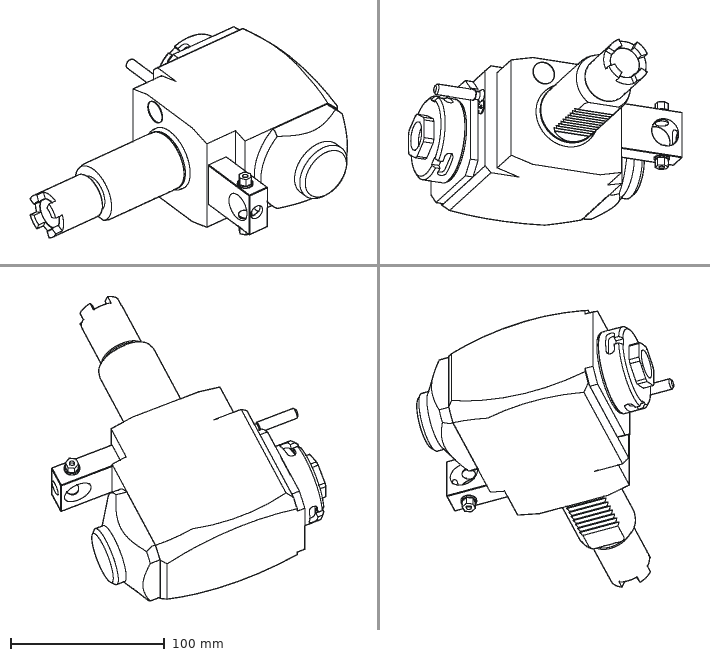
import cadquery as cq
import math


block_height = 75.0
half_height = block_height / 2
block_back = 102.9
block_left = -47.4
block_right = 48.8
left_chamfer = 4.2
taper_start = 23.7
taper_slope = math.tan(math.radians(15))
base_half_width = 38.9
base_length = 23.7
back_corner_chamfer = 3.3
back_bevel_depth = 4.4
back_bevel_center = -9.8
back_bevel_radius = 137.2
back_bevel_reach = 31.2
back_bevel_half_span = 83.1
recess_radius = 7.5
recess_x = -15.8
recess_z = 27.9
recess_depth = 0.6

spindle_y = 69.0
plate_left = -52.8
plate_front = 35.8
plate_half_height = 33.5
plate_chamfer = 8.5
nut_left = -70.3
nut_diameter = 55.0
nut_radius = nut_diameter / 2
nut_chamfer = 2.0
nut_groove_width = 1.2
nut_groove_depth = 0.6
nut_notch_width = 5.8
nut_notch_depth = 3.3
nut_notch_length = 5.2
nut_slot_length = 18.7
nut_slot_width = 5.8
nut_slot_depth = 5.0
nut_slot_x = nut_left + nut_notch_length + nut_slot_width / 2
hex_left = -77.1
hex_flats = 27.0
hex_corners = 29.7
hex_bore_radius = 9.4
hex_bore_depth = 5.5

cover_radius = 37.6
cover_rim_right = 55.7
cover_cone_right = 68.2
cover_right = 76.3
cover_end_radius = 19.5
cover_end_chamfer = 2.5
cover_back = 99.0
cover_flat_right = 51.1

pin_y = 29.5
pin_z = 17.7
pin_left = -80.2
pin_shoulder = -52.4
pin_radius = 3.5
pin_chamfer = 1.2
pin_shoulder_chamfer = 0.6
pin_neck_radius = 2.7
pin_seat_radius = 4.5
pin_seat_start = -49.7
disc_drop = 7.5
disc_z = pin_z - disc_drop
disc_radius = 4.5
disc_height = 0.6
disc_hole_radius = 1.0

flange_radius = 21.5
flange_length = 2.5
flange_fillet = 0.5
shank_radius = 20.0
shank_relief_radius = 19.5
shank_relief_end = -3.7
shank_end = -63.2
shank_end_chamfer = 0.8
shank_chamfer_length = 3.1
neck_radius = 12.0
drive_start = -67.0
overall_length = 207.8
drive_end = block_back - overall_length
drive_radius = 15.0
drive_chamfer = 0.6
drive_slot_depth = 5.5
drive_bore_radius = 10.2
drive_bore_depth = 5.8
drive_slot_half_angle = 25

flat_z = -15.8
flat_start = -9.0
flat_run_in = 3.1
tooth_pitch = 4.0
tooth_count = 10
groove_depth = 1.2
groove_width = 4.0
first_groove = -11.6

overall_width = 162.3
arm_right = pin_left + overall_width
arm_front = 1.2
arm_back = 16.5
arm_height = 31.8
arm_half_height = arm_height / 2
arm_edge_chamfer = 0.5
arm_bore_x = 70.0
arm_bore_diameter = 19.0
arm_bore_radius = arm_bore_diameter / 2
nozzle_y = 7.3
nozzle_flange_radius = 5.2
nozzle_flange_height = 1.0
nozzle_flange_chamfer = 0.6
nozzle_hex_flats = 7.5
nozzle_stem_radius = 4.4
nozzle_stem_bottom = 8.3
nozzle_top = 22.2
nozzle_bore_radius = 1.7
nozzle_bore_depth = 2.0
end_bore_radius = 4.8


def box(x0, x1, y0, y1, z0, z1):
    return cq.Workplane("XY").box(x1 - x0, y1 - y0, z1 - z0, centered=False).translate((x0, y0, z0))


def x_cylinder(radius, x0, x1, y, z):
    return cq.Workplane("YZ", origin=(x0, y, z)).circle(radius).extrude(x1 - x0)


def z_cylinder(radius, x, y, z0, z1):
    return cq.Workplane("XY", origin=(x, y, z0)).circle(radius).extrude(z1 - z0)


def turned_about_x(profile, y, z):
    """Revolve (x, radius) points about a line along X."""
    return cq.Workplane("XY").polyline(profile).close().revolve(360, (0, 0), (1, 0)).translate((0, y, z))


def turned_about_y(profile):
    """Revolve (radius, y) points about the shank axis."""
    return cq.Workplane("XY").polyline(profile).close().revolve(360, (0, 0), (0, 1))


def taper_height(x):
    return half_height - (x - taper_start) * taper_slope


def mirrored_prism(upper_edge, y0, y1):
    """Extrude along Y an outline made of (x, z) points and their mirror image below Z = 0."""
    lower_edge = [(x, -z) for x, z in reversed(upper_edge)]
    outline = cq.Workplane("XZ", origin=(0, y0, 0)).polyline(upper_edge + lower_edge).close()
    return outline.extrude(y0 - y1)


def back_bevel():
    """Oblique prism that bevels the upper back edge at 45 degrees along a shallow arc."""
    sag = back_bevel_radius - math.sqrt(back_bevel_radius**2 - back_bevel_half_span**2)
    crest = block_back - back_bevel_depth
    left = back_bevel_center - back_bevel_half_span
    right = back_bevel_center + back_bevel_half_span
    far = crest + back_bevel_half_span
    outline = (
        cq.Workplane("XY", origin=(0, 0, half_height))
        .moveTo(left, crest - sag)
        .threePointArc((back_bevel_center, crest), (right, crest - sag))
        .lineTo(right, far)
        .lineTo(left, far)
        .close()
    )
    face = cq.Face.makeFromWires(outline.wires().val())
    direction = cq.Vector(0, back_bevel_reach, -back_bevel_reach)
    return cq.Workplane(cq.Solid.extrudeLinear(face, direction))


def make_block():
    upper = mirrored_prism(
        [
            (block_left, half_height - left_chamfer),
            (block_left + left_chamfer, half_height),
            (taper_start, half_height),
            (block_right, taper_height(block_right)),
        ],
        base_length,
        block_back,
    )
    upper = upper.edges("|Z and >X and >Y").chamfer(back_corner_chamfer)
    bevel = back_bevel()
    upper = upper.cut(bevel).cut(bevel.mirror("XY"))
    base = mirrored_prism(
        [
            (-base_half_width, taper_height(base_half_width)),
            (-taper_start, half_height),
            (taper_start, half_height),
            (base_half_width, taper_height(base_half_width)),
        ],
        0,
        base_length,
    )
    recess = cq.Workplane("XZ", origin=(recess_x, 0, recess_z)).circle(recess_radius).extrude(-recess_depth)
    return upper.union(base).cut(recess)


def make_plate():
    plate = box(plate_left, block_left, plate_front, block_back, -plate_half_height, plate_half_height)
    return plate.edges("|X").chamfer(plate_chamfer)


def make_nut():
    groove_start = plate_left - nut_groove_width
    nut = turned_about_x(
        [
            (nut_left, 0),
            (nut_left, nut_radius - nut_chamfer),
            (nut_left + nut_chamfer, nut_radius),
            (groove_start, nut_radius),
            (groove_start, nut_radius - nut_groove_depth),
            (plate_left, nut_radius - nut_groove_depth),
            (plate_left, 0),
        ],
        0,
        0,
    )
    notch_floor = nut_radius - nut_notch_depth
    half_notch = nut_notch_width / 2
    notch = box(nut_left, nut_slot_x, notch_floor, nut_radius, -half_notch, half_notch)
    slot = (
        cq.Workplane("XZ", origin=(nut_slot_x, nut_radius, 0))
        .slot2D(nut_slot_length, nut_slot_width, 90)
        .extrude(nut_slot_depth)
    )
    wrench_cut = notch.union(slot)
    for angle in (0, 120, 240):
        nut = nut.cut(wrench_cut.rotate((0, 0, 0), (1, 0, 0), angle))

    hexagon = (
        cq.Workplane("YZ", origin=(hex_left, 0, 0))
        .polygon(6, hex_flats / math.cos(math.pi / 6))
        .extrude(nut_left - hex_left)
        .rotate((0, 0, 0), (1, 0, 0), 90)
        .intersect(x_cylinder(hex_corners / 2, hex_left, nut_left, 0, 0))
    )
    bore = x_cylinder(hex_bore_radius, hex_left, hex_left + hex_bore_depth, 0, 0)
    return nut.union(hexagon).cut(bore).translate((0, spindle_y, 0))


def make_cover():
    cover = turned_about_x(
        [
            (block_right, 0),
            (block_right, cover_radius),
            (cover_rim_right, cover_radius),
            (cover_cone_right, cover_end_radius),
            (cover_right - cover_end_chamfer, cover_end_radius),
            (cover_right, cover_end_radius - cover_end_chamfer),
            (cover_right, 0),
        ],
        spindle_y,
        0,
    )
    limits = mirrored_prism(
        [
            (block_right, taper_height(cover_flat_right)),
            (cover_flat_right, taper_height(cover_flat_right)),
            (cover_right, taper_height(cover_right)),
        ],
        0,
        cover_back,
    )
    return cover.intersect(limits)


def make_pin():
    pin = turned_about_x(
        [
            (pin_left, 0),
            (pin_left, pin_radius - pin_chamfer),
            (pin_left + pin_chamfer, pin_radius),
            (pin_shoulder - pin_shoulder_chamfer, pin_radius),
            (pin_shoulder, pin_radius - pin_shoulder_chamfer),
            (pin_shoulder, pin_neck_radius),
            (pin_seat_start, pin_neck_radius),
            (block_left, pin_seat_radius),
            (block_left, 0),
        ],
        pin_y,
        pin_z,
    )
    disc_left = block_left - disc_height
    disc = x_cylinder(disc_radius, disc_left, block_left, pin_y, disc_z)
    disc_hole = x_cylinder(disc_hole_radius, disc_left, block_left, pin_y, disc_z)
    return disc.cut(disc_hole).union(pin)


def make_serration():
    """Material removed from the underside of the shank: a flat with V grooves across it."""
    half_width = shank_radius
    below_shank = -2 * shank_radius
    outline = [
        (shank_end, flat_z),
        (flat_start, flat_z),
        (flat_start + flat_run_in, -shank_radius),
        (flat_start + flat_run_in, below_shank),
        (shank_end, below_shank),
    ]
    cutter = cq.Workplane("YZ").polyline(outline).close().extrude(half_width, both=True)
    for index in range(tooth_count):
        y = first_groove - index * tooth_pitch
        groove = [
            (y - groove_width / 2, flat_z),
            (y, flat_z + groove_depth),
            (y + groove_width / 2, flat_z),
        ]
        cutter = cutter.union(cq.Workplane("YZ").polyline(groove).close().extrude(half_width, both=True))
    return cutter


def make_flange():
    return cq.Workplane("XZ").circle(flange_radius).extrude(flange_length).edges("<Y").fillet(flange_fillet)


def make_shank():
    shank = turned_about_y(
        [
            (0, 0),
            (shank_relief_radius, 0),
            (shank_relief_radius, shank_relief_end),
            (shank_radius, shank_relief_end),
            (shank_radius, shank_end + shank_chamfer_length),
            (shank_radius - shank_end_chamfer, shank_end),
            (0, shank_end),
        ]
    )
    return shank.cut(make_serration()).union(make_flange())


def make_drive():
    drive = turned_about_y(
        [
            (0, shank_end),
            (neck_radius, shank_end),
            (neck_radius, drive_start),
            (drive_radius - drive_chamfer, drive_start),
            (drive_radius, drive_start - drive_chamfer),
            (drive_radius, drive_end),
            (0, drive_end),
        ]
    )
    end_face = cq.Workplane("XZ", origin=(0, drive_end, 0))
    drive = drive.cut(end_face.circle(drive_bore_radius).extrude(-drive_bore_depth))
    reach = 2 * drive_radius
    spread = reach * math.tan(math.radians(drive_slot_half_angle))
    sector = end_face.polyline([(0, 0), (reach, spread), (reach, -spread)]).close().extrude(-drive_slot_depth)
    for angle in (0, 90, 180, 270):
        drive = drive.cut(sector.rotate((0, 0, 0), (0, 1, 0), angle))
    return drive


def make_nozzle():
    flange = z_cylinder(
        nozzle_flange_radius, arm_bore_x, nozzle_y, arm_half_height, arm_half_height + nozzle_flange_height
    )
    flange = flange.edges(">Z").chamfer(nozzle_flange_chamfer)
    hexagon = (
        cq.Workplane("XY", origin=(arm_bore_x, nozzle_y, arm_half_height))
        .transformed(rotate=(0, 0, 90))
        .polygon(6, nozzle_hex_flats / math.cos(math.pi / 6))
        .extrude(nozzle_top - arm_half_height)
    )
    bore = z_cylinder(nozzle_bore_radius, arm_bore_x, nozzle_y, nozzle_top - nozzle_bore_depth, nozzle_top)
    stem = z_cylinder(nozzle_stem_radius, arm_bore_x, nozzle_y, nozzle_stem_bottom, arm_half_height)
    return flange.union(hexagon).cut(bore).union(stem)


def make_arm():
    arm = box(base_half_width, arm_right, arm_front, arm_back, -arm_half_height, arm_half_height)
    arm = arm.edges("|X or (>X and |Y) or (>X and |Z)").chamfer(arm_edge_chamfer)
    through_bore = (
        cq.Workplane("XZ", origin=(arm_bore_x, arm_front, 0))
        .circle(arm_bore_radius)
        .extrude(arm_front - arm_back)
    )
    end_bore = x_cylinder(end_bore_radius, arm_bore_x, arm_right, nozzle_y, 0)
    arm = arm.cut(through_bore).cut(end_bore)
    nozzle = make_nozzle()
    return arm.union(nozzle).union(nozzle.mirror("XY"))


result = make_block()
features = [make_plate(), make_nut(), make_cover(), make_pin(), make_shank(), make_drive(), make_arm()]
for feature in features:
    result = result.union(feature)